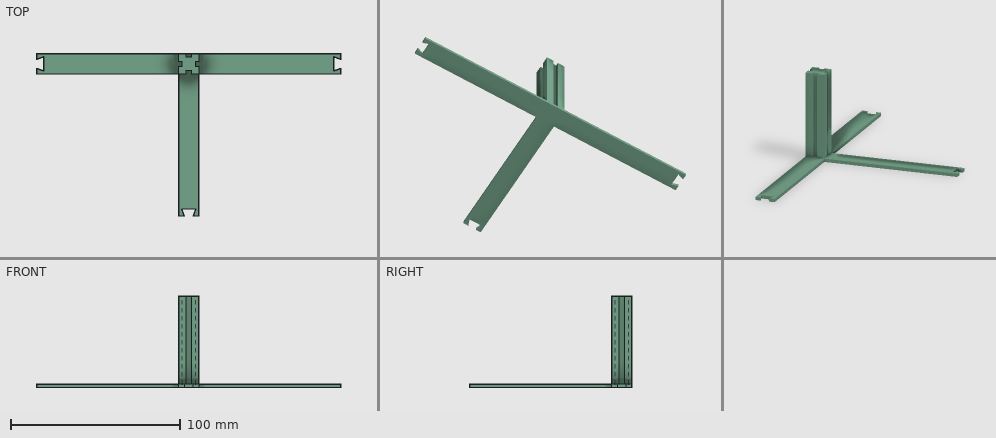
import cadquery as cq

post_side = 12.0
total_height = 54.0
plate_thickness = 2.0
arm_length = 84.0

groove_width = 3.0
groove_depth = 2.0

socket_mouth = 5.2
socket_floor = 8.2
socket_depth = 4.1

half_side = post_side / 2
post_height = total_height - plate_thickness
tip_distance = half_side + arm_length

arm_angles = (0, 180, 270)
groove_angles = (0, 90, 180, 270)


def turned(shape, angle):
    """Rotate a shape about the post axis."""
    return shape.rotate((0, 0, 0), (0, 0, 1), angle)


def make_arm():
    """Flat arm along +X, from the far post face to a tip with a dovetail socket."""
    arm = cq.Workplane("XY").box(
        post_side + arm_length, post_side, plate_thickness, centered=(False, True, False)
    ).translate((-half_side, 0, 0))
    socket_bottom = tip_distance - socket_depth
    socket = (
        cq.Workplane("XY")
        .polyline([
            (tip_distance, -socket_mouth / 2),
            (tip_distance, socket_mouth / 2),
            (socket_bottom, socket_floor / 2),
            (socket_bottom, -socket_floor / 2),
        ])
        .close()
        .extrude(plate_thickness)
    )
    return arm.cut(socket)


def make_post():
    """Square post standing on the plate, with a groove along each face."""
    post = cq.Workplane("XY").box(post_side, post_side, post_height, centered=(True, True, False))
    groove = cq.Workplane("XY").box(
        groove_depth, groove_width, post_height, centered=(False, True, False)
    ).translate((half_side - groove_depth, 0, 0))
    for angle in groove_angles:
        post = post.cut(turned(groove, angle))
    return post.translate((0, 0, plate_thickness))


result = make_post()
for arm_angle in arm_angles:
    result = result.union(turned(make_arm(), arm_angle))
result = result.clean()